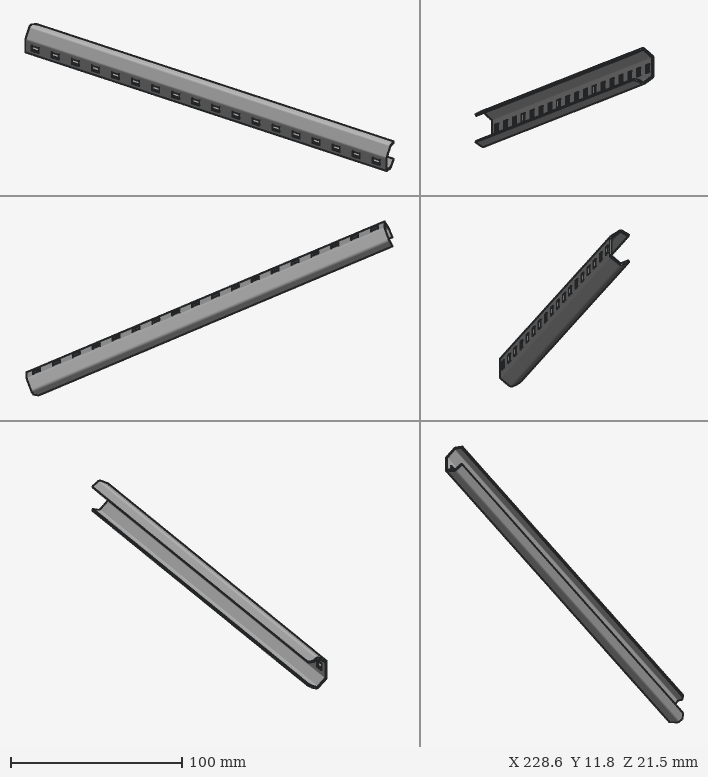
import cadquery as cq
import math

length = 228.6
depth = 11.82
height = 21.48

thickness = 1.17
bend_radius = 1.85

web_half_height = 6.1
flange_angle = 36.5
lip_angle = 28.0

hole_pitch = 12.7
hole_size = 4.62
hole_count = round(length / hole_pitch)

lip_chamfer = 2.4

web_y = -depth / 2
tip_y = depth / 2


def section_points():
    """Upper half of the sharp-cornered section: outer and inner lists of (y, z), from web to lip tip."""
    flange = math.radians(flange_angle)
    lip = math.radians(lip_angle)

    crest_half_bend = (flange + lip) / 2
    crest_skew = (flange - lip) / 2
    crest_z = height / 2 - bend_radius + bend_radius * math.cos(crest_skew) / math.cos(crest_half_bend)
    crest_y = web_y + (crest_z - web_half_height) / math.tan(flange)
    tip_z = crest_z - (tip_y - crest_y) * math.tan(lip)
    outer = [(web_y, web_half_height), (crest_y, crest_z), (tip_y, tip_z)]

    web_miter = thickness * math.tan((math.pi / 2 - flange) / 2)
    crest_miter = thickness / math.cos(crest_half_bend)
    inner = [
        (web_y + thickness, web_half_height - web_miter),
        (crest_y - crest_miter * math.sin(crest_skew), crest_z - crest_miter * math.cos(crest_skew)),
        (tip_y - thickness * math.sin(lip), tip_z - thickness * math.cos(lip)),
    ]
    return outer, inner


def corner_edges(body, corners):
    """Lengthwise edges of the body that run through the given (y, z) corners and their mirror images."""
    edges = []
    for y, z in corners:
        for side in (1, -1):
            edges += body.edges(cq.NearestToPointSelector((0, y, side * z))).vals()
    return body.newObject(edges)


def bent_sheet():
    outer, inner = section_points()
    lower_outer = [(y, -z) for y, z in outer]
    lower_inner = [(y, -z) for y, z in inner]
    outline = outer[::-1] + lower_outer + lower_inner[::-1] + inner
    body = cq.Workplane("YZ").polyline(outline).close().extrude(length / 2, both=True)
    body = corner_edges(body, outer[:2]).fillet(bend_radius)
    return corner_edges(body, inner[:2]).fillet(bend_radius - thickness)


def web_holes():
    return (
        cq.Workplane("XZ", origin=(0, web_y + thickness / 2, 0))
        .rarray(hole_pitch, 1, hole_count, 1)
        .rect(hole_size, hole_size)
        .extrude(thickness, both=True)
    )


def chamfer_lip_corners(body):
    """Chamfer the free corner of both lips at the -X end."""
    outer, inner = section_points()
    tip_mid_y = (outer[-1][0] + inner[-1][0]) / 2
    tip_mid_z = (outer[-1][1] + inner[-1][1]) / 2
    edges = []
    for side in (1, -1):
        corner = (-length / 2, tip_mid_y, side * tip_mid_z)
        edges += body.edges(cq.NearestToPointSelector(corner)).vals()
    return body.newObject(edges).chamfer(lip_chamfer)


result = chamfer_lip_corners(bent_sheet()).cut(web_holes())